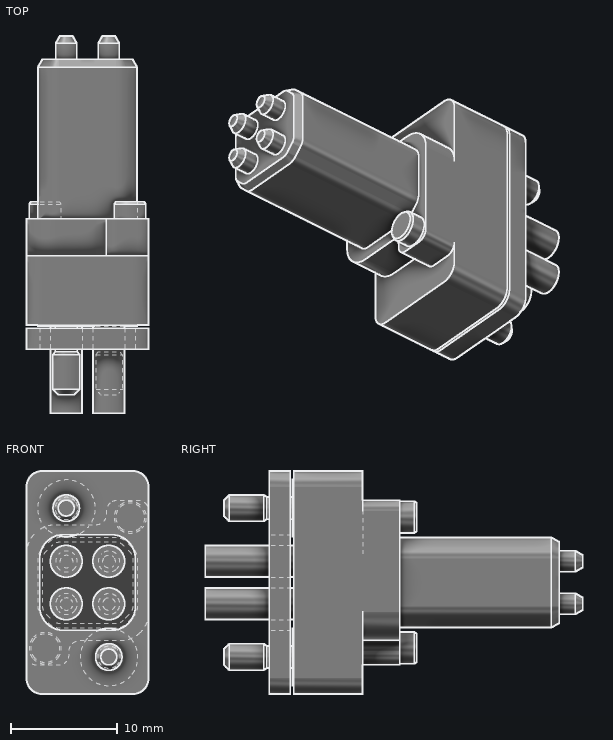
import cadquery as cq
import math


BODY_WIDTH = 11.5
BODY_HEIGHT = 21.0
BODY_CORNER_RADIUS = 1.5
PLATE_THICKNESS = 2.0
GAP = 0.3
BODY_THICKNESS = 6.5
WINDOW_SIZE = 9.0
WINDOW_CORNER_RADIUS = 2.25

FLANGE_HEIGHT = 15.5
FLANGE_THICKNESS = 3.5
FLANGE_CORNER_RADIUS = 1.0
SHOULDER_HEIGHT = 5.45
SHOULDER_RADIUS = 2.7
LOBE_WALL_X = 1.77

BLOCK_WIDTH = 9.35
BLOCK_HEIGHT = 8.5
BLOCK_LENGTH = 15.0
BLOCK_BEVEL = 1.45
BLOCK_EDGE_RADIUS = 1.3
BLOCK_TAPER_LENGTH = 0.75
TAPER_ANGLE = 30.0

CONTACT_PITCH = 4.0
PIN_DIAMETER = 2.0
PIN_LENGTH = 2.2
PIN_TAPER_LENGTH = 0.7
CABLE_DIAMETER = 3.0
CABLE_LENGTH = 6.0

SCREW_X = 4.0
SCREW_Z = 6.15
HEAD_DIAMETER = 3.0
HEAD_HEIGHT = 1.6
HEAD_BEVEL_LENGTH = 0.25
HEAD_BEVEL_INSET = 0.15

GUIDE_X = 2.0
GUIDE_Z = 7.0
GUIDE_DIAMETER = 2.5
GUIDE_NECK_DIAMETER = 2.1
GUIDE_NECK_LENGTH = 0.2
GUIDE_BACK_BEVEL_LENGTH = 0.3
GUIDE_TIP_CHAMFER = 0.5
GUIDE_LENGTH = 4.25
PAD_DIAMETER = 5.4
PAD_HEIGHT = 0.12

BODY_FRONT = PLATE_THICKNESS + GAP
BODY_BACK = BODY_FRONT + BODY_THICKNESS
FLANGE_BACK = BODY_BACK + FLANGE_THICKNESS
BLOCK_END = FLANGE_BACK + BLOCK_LENGTH
PIN_END = BLOCK_END + PIN_LENGTH

ARC_MIDDLE = math.sqrt(0.5)
TAPER_SLOPE = math.tan(math.radians(TAPER_ANGLE))


def section(y):
    """Sketch plane at station y with local axes +X and +Z (its normal is -Y)."""
    return cq.Workplane("XZ", origin=(0, y, 0))


def rounded_slab(width, height, corner_radius, y_front, y_back):
    slab = section(y_front).rect(width, height).extrude(y_front - y_back)
    return slab.edges("|Y").fillet(corner_radius)


def turned(profile, x, z):
    """Solid of revolution about the Y-parallel axis at (x, z); profile is (radius, y)."""
    outline = cq.Workplane("XY").polyline(profile).close()
    return outline.revolve(360, (0, 0), (0, 1)).translate((x, 0, z))


def opposite_pair(x, z):
    """Two positions related by a half turn about the Y axis."""
    return [(x, z), (-x, -z)]


def contact_positions():
    half_pitch = CONTACT_PITCH / 2
    return [(sx * half_pitch, sz * half_pitch) for sx in (-1, 1) for sz in (-1, 1)]


def make_plate():
    plate = rounded_slab(BODY_WIDTH, BODY_HEIGHT, BODY_CORNER_RADIUS, 0, PLATE_THICKNESS)
    window = rounded_slab(WINDOW_SIZE, WINDOW_SIZE, WINDOW_CORNER_RADIUS, 0, PLATE_THICKNESS)
    return plate.cut(window)


def make_body():
    body = rounded_slab(BODY_WIDTH, BODY_HEIGHT, BODY_CORNER_RADIUS, BODY_FRONT, BODY_BACK)
    pads = section(BODY_FRONT).pushPoints(opposite_pair(-GUIDE_X, GUIDE_Z))
    return body.union(pads.circle(PAD_DIAMETER / 2).extrude(PAD_HEIGHT))


def shoulder_cutter():
    """Corner removed from the upper -X side of the flange, beside the screw lobe."""
    left = -BODY_WIDTH / 2
    top = FLANGE_HEIGHT / 2
    r = FLANGE_CORNER_RADIUS
    shoulder_centre_x = left + SHOULDER_RADIUS
    shoulder_centre_z = SHOULDER_HEIGHT - SHOULDER_RADIUS
    shoulder_middle = (
        shoulder_centre_x - SHOULDER_RADIUS * ARC_MIDDLE,
        shoulder_centre_z + SHOULDER_RADIUS * ARC_MIDDLE,
    )
    inner_middle = (
        LOBE_WALL_X - r + r * ARC_MIDDLE,
        SHOULDER_HEIGHT + r - r * ARC_MIDDLE,
    )
    outer_middle = (
        LOBE_WALL_X + r - r * ARC_MIDDLE,
        top - r + r * ARC_MIDDLE,
    )
    return (
        section(BODY_BACK)
        .moveTo(left, shoulder_centre_z)
        .threePointArc(shoulder_middle, (shoulder_centre_x, SHOULDER_HEIGHT))
        .lineTo(LOBE_WALL_X - r, SHOULDER_HEIGHT)
        .threePointArc(inner_middle, (LOBE_WALL_X, SHOULDER_HEIGHT + r))
        .lineTo(LOBE_WALL_X, top - r)
        .threePointArc(outer_middle, (LOBE_WALL_X + r, top))
        .lineTo(left, top)
        .close()
        .extrude(-FLANGE_THICKNESS)
    )


def make_flange():
    flange = rounded_slab(BODY_WIDTH, FLANGE_HEIGHT, FLANGE_CORNER_RADIUS, BODY_BACK, FLANGE_BACK)
    upper_cutter = shoulder_cutter()
    lower_cutter = upper_cutter.rotate((0, 0, 0), (0, 1, 0), 180)
    return flange.cut(upper_cutter).cut(lower_cutter)


def make_block():
    taper_start = BLOCK_END - BLOCK_TAPER_LENGTH
    straight = section(FLANGE_BACK).rect(BLOCK_WIDTH, BLOCK_HEIGHT).extrude(FLANGE_BACK - taper_start)
    straight = straight.edges("|Y").chamfer(BLOCK_BEVEL)
    straight = straight.edges("|Y").fillet(BLOCK_EDGE_RADIUS)
    end_outline = straight.faces(">Y").wires().toPending()
    return end_outline.workplane().extrude(BLOCK_TAPER_LENGTH, taper=TAPER_ANGLE)


def make_contact_pin(x, z):
    radius = PIN_DIAMETER / 2
    tip_radius = radius - PIN_TAPER_LENGTH * TAPER_SLOPE
    profile = [
        (0, FLANGE_BACK),
        (radius, FLANGE_BACK),
        (radius, PIN_END - PIN_TAPER_LENGTH),
        (tip_radius, PIN_END),
        (0, PIN_END),
    ]
    return turned(profile, x, z)


def make_cables():
    cables = section(BODY_FRONT).pushPoints(contact_positions())
    return cables.circle(CABLE_DIAMETER / 2).extrude(BODY_FRONT + CABLE_LENGTH)


def make_screw_head(x, z):
    radius = HEAD_DIAMETER / 2
    head_top = FLANGE_BACK + HEAD_HEIGHT
    profile = [
        (0, BODY_BACK),
        (radius, BODY_BACK),
        (radius, head_top - HEAD_BEVEL_LENGTH),
        (radius - HEAD_BEVEL_INSET, head_top),
        (0, head_top),
    ]
    return turned(profile, x, z)


def make_guide_pin(x, z):
    radius = GUIDE_DIAMETER / 2
    neck_radius = GUIDE_NECK_DIAMETER / 2
    profile = [
        (0, BODY_FRONT),
        (neck_radius, BODY_FRONT),
        (neck_radius, -GUIDE_NECK_LENGTH),
        (radius, -GUIDE_NECK_LENGTH - GUIDE_BACK_BEVEL_LENGTH),
        (radius, GUIDE_TIP_CHAMFER - GUIDE_LENGTH),
        (radius - GUIDE_TIP_CHAMFER, -GUIDE_LENGTH),
        (0, -GUIDE_LENGTH),
    ]
    return turned(profile, x, z)


result = make_body().union(make_plate()).union(make_flange()).union(make_block())
result = result.union(make_cables())
for pin_x, pin_z in contact_positions():
    result = result.union(make_contact_pin(pin_x, pin_z))
for screw_x, screw_z in opposite_pair(SCREW_X, SCREW_Z):
    result = result.union(make_screw_head(screw_x, screw_z))
for guide_x, guide_z in opposite_pair(-GUIDE_X, GUIDE_Z):
    result = result.union(make_guide_pin(guide_x, guide_z))